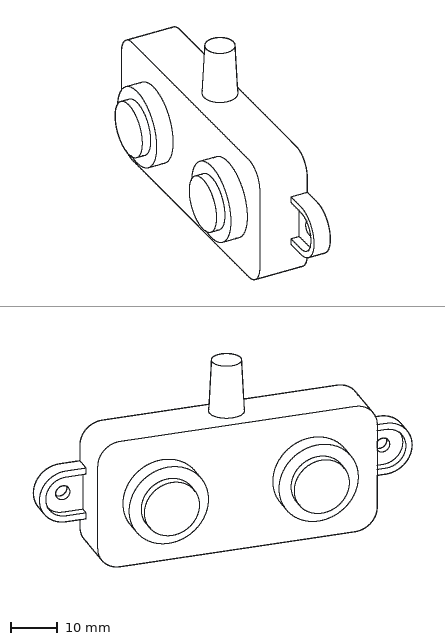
import cadquery as cq

overall_length = 84.6
body_length = 63.45
body_height = 29.6
body_depth = 11.5
corner_radius = 5.1

ear_height = 12.0
ear_radius = ear_height / 2
ear_depth = 4.0
ear_rim = 1.4
ear_floor = ear_depth / 2
hole_diameter = 3.2
hole_x = overall_length / 2 - ear_radius

boss_spacing = 34.0
boss_diameter = 18.0
boss_depth = 4.0
cap_diameter = 12.5
cap_depth = 2.0

post_height = 12.0
post_base_diameter = 7.7
post_top_diameter = 6.5
post_y = -4.4


def cylinder_forward(x, diameter, back_y, depth):
    """Cylinder along Y that starts at back_y and runs toward the front."""
    return cq.Workplane("XZ", origin=(x, back_y, 0)).circle(diameter / 2).extrude(depth)


def tongue(side, radius, back_y, depth):
    """Round-ended tongue from the middle of the housing out past the ear hole."""
    straight = (
        cq.Workplane("XZ", origin=(side * hole_x / 2, back_y, 0))
        .rect(hole_x, 2 * radius)
        .extrude(depth)
    )
    return straight.union(cylinder_forward(side * hole_x, 2 * radius, back_y, depth))


def ear(side):
    """Mounting ear with a raised rim around a recessed, drilled floor."""
    recess = tongue(side, ear_radius - ear_rim, -ear_floor, ear_depth - ear_floor)
    hole = cylinder_forward(side * hole_x, hole_diameter, 0, ear_depth)
    return tongue(side, ear_radius, 0, ear_depth).cut(recess).cut(hole)


def stepped_boss(x):
    """Wide round boss carrying a narrower cap."""
    boss = cylinder_forward(x, boss_diameter, -body_depth, boss_depth)
    cap = cylinder_forward(x, cap_diameter, -body_depth - boss_depth, cap_depth)
    return boss.union(cap)


body = (
    cq.Workplane("XZ")
    .rect(body_length, body_height)
    .extrude(body_depth)
    .edges("|Y")
    .fillet(corner_radius)
)

post = (
    cq.Workplane("XY", origin=(0, post_y, body_height / 2))
    .circle(post_base_diameter / 2)
    .workplane(offset=post_height)
    .circle(post_top_diameter / 2)
    .loft()
)

result = body.union(post)
for side in (-1, 1):
    result = result.union(ear(side))
    result = result.union(stepped_boss(side * boss_spacing / 2))